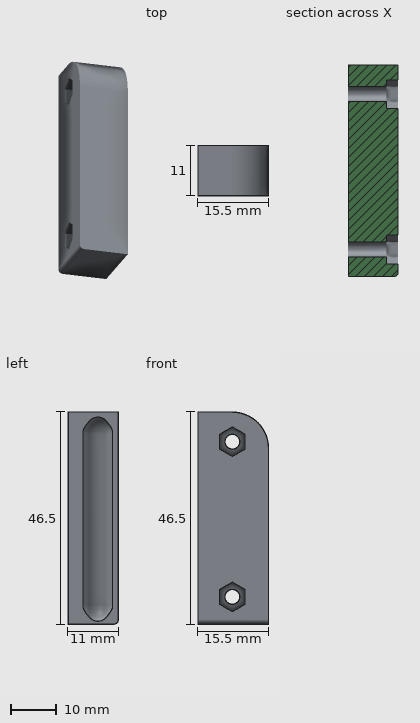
import cadquery as cq

width = 15.5
thickness = 11.0
height = 46.5
corner_radius = 8.0
bottom_edge_radius = 1.0

hole_diameter = 3.2
hole_x = 7.55
lower_hole_z = 6.0
hole_spacing = 34.0
nut_corner_diameter = 6.45
nut_depth = 2.5

groove_front_y = 1.25
groove_back_y = 7.8
floor_front_y = 2.7
floor_back_y = 6.32
wall_depth = 1.45
groove_depth = 2.2
groove_bottom_z = 4.05
groove_top_z = 42.0
end_axis_offset = 1.55


def make_body():
    body = cq.Workplane("XY").box(width, thickness, height, centered=False)
    body = body.edges("|Y and >X and >Z").fillet(corner_radius)
    return body.edges("|X and <Y and <Z").fillet(bottom_edge_radius)


def make_screw_hole(z):
    plane = cq.Workplane("XZ").center(hole_x, z)
    hole = plane.circle(hole_diameter / 2).extrude(-thickness)
    nut = plane.transformed(rotate=(0, 0, 90)).polygon(6, nut_corner_diameter).extrude(-nut_depth)
    return hole.union(nut)


def groove_profile(z):
    return (
        cq.Workplane("XY", origin=(0, 0, z))
        .moveTo(0, groove_front_y)
        .lineTo(wall_depth, floor_front_y)
        .threePointArc((groove_depth, (floor_front_y + floor_back_y) / 2), (wall_depth, floor_back_y))
        .lineTo(0, groove_back_y)
        .close()
    )


def make_groove():
    groove = groove_profile(groove_bottom_z).extrude(groove_top_z - groove_bottom_z)
    for z in (groove_bottom_z, groove_top_z):
        end = groove_profile(z).revolve(360, (-end_axis_offset, 0), (-end_axis_offset, 1))
        groove = groove.union(end)
    return groove


result = make_body().cut(make_groove())
for hole_z in (lower_hole_z, lower_hole_z + hole_spacing):
    result = result.cut(make_screw_hole(hole_z))